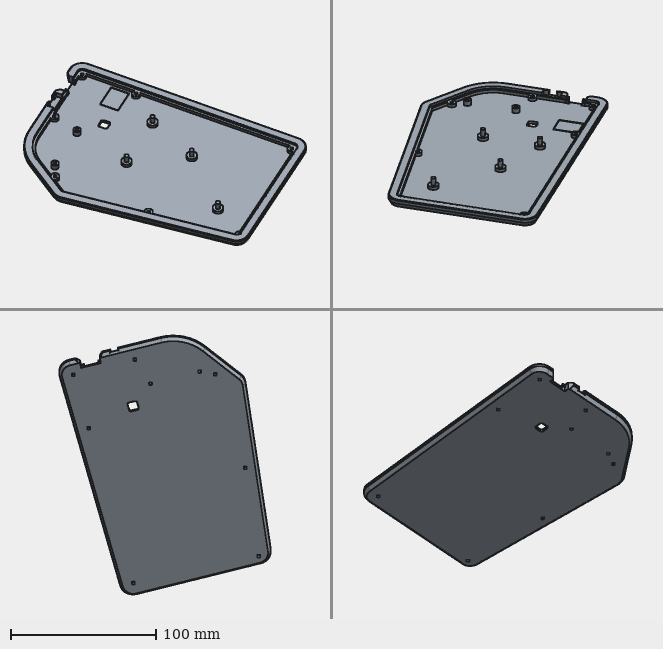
import cadquery as cq
import math

LENGTH = 179.4
WIDTH = 122.4
RIM_WIDTH = 6.0
RIM_TOP = 6.3
RIM_CHAMFER = 0.63
FLOOR_TOP = 2.2
TAPER_HEIGHT = 3.4
TAPER_ANGLE = 30.0

LEDGE_TOP = 4.5
LEDGE_WIDTH = 2.0

WELL_LEFT = RIM_WIDTH
WELL_RIGHT = LENGTH - RIM_WIDTH
WELL_TOP = WIDTH - RIM_WIDTH
WELL_CORNER_RADIUS = 3.4
WELL_SLANT_RADIUS = 27.8
FRONT_EDGE_ANGLE = math.radians(7)
SLANT_EDGE_ANGLE = math.radians(35)

CORNER_TILT = (SLANT_EDGE_ANGLE - FRONT_EDGE_ANGLE) / 2
CORNER_HALF_TURN = (SLANT_EDGE_ANGLE + FRONT_EDGE_ANGLE) / 2
CORNER_REACH = WELL_CORNER_RADIUS * math.cos(CORNER_TILT) / math.cos(CORNER_HALF_TURN)
WELL_CORNER_X = 45.4
WELL_CORNER_Y = RIM_WIDTH + WELL_CORNER_RADIUS - CORNER_REACH

BOSS_DIAMETER = 6.0
SCREW_HOLE_DIAMETER = 2.2
BOSS_CENTERS = [
    (9.5, 112.7), (50.6, 112.7), (169.5, 112.7),
    (9.5, 68.7), (34.5, 18.3), (107.0, 16.1), (172.5, 24.2),
]

POST_DIAMETER = 5.2
POST_TOP = 6.0
POST_CENTERS = [(29.6, 63.0), (29.6, 28.0)]

PIN_DIAMETER = 3.0
PIN_TOP = 9.7
PIN_BASE_DIAMETER = 7.4
PIN_BASE_TOP = LEDGE_TOP
PIN_CENTERS = [(72.5, 93.6), (72.5, 52.5), (110.5, 77.0), (148.2, 40.4)]

WINDOW_SIZE = 6.8
WINDOW_RADIUS = 1.6
WINDOW_CENTER = (42.7, 79.0)
RECESS_SIZE = (13.6, 17.5)
RECESS_CENTER = (38.5, 103.7)
RECESS_DEPTH = 0.5

GAP_CENTER_Y = 99.0
GAP_WIDTH = 14.0
GAP_FLARE = 2.7
OPENING_WIDTH = 10.0
OPENING_CHAMFER = 0.7
JAMB_INNER_X = 8.3
FIN_THICKNESS = 0.7

POCKET_LEFT = 1.8
POCKET_RIGHT = 6.6
POCKET_WIDTH = 13.5
POCKET_CENTER_Y = 81.0
POCKET_FLOOR = 2.5
SLOT_TOP_WIDTH = 5.4
SLOT_FLOOR_WIDTH = 6.5


def well_outline(growth):
    """Well outline in the XY plane, grown outward by growth (inward if negative)."""
    front_right_y = WELL_CORNER_Y + (WELL_RIGHT - WELL_CORNER_X) * math.tan(FRONT_EDGE_ANGLE)
    slant_left_y = WELL_CORNER_Y + (WELL_CORNER_X - WELL_LEFT) * math.tan(SLANT_EDGE_ANGLE)
    corners = [
        (WELL_LEFT, WELL_TOP),
        (WELL_RIGHT, WELL_TOP),
        (WELL_RIGHT, front_right_y),
        (WELL_CORNER_X, WELL_CORNER_Y),
        (WELL_LEFT, slant_left_y),
    ]
    well = cq.Workplane("XY").polyline(corners).close().extrude(1.8)
    slant_corner = cq.selectors.NearestToPointSelector((WELL_LEFT, slant_left_y))
    well = well.edges("|Z").edges(slant_corner).fillet(WELL_SLANT_RADIUS)
    well = well.edges("|Z").edges(">Y or >X or <Y").fillet(WELL_CORNER_RADIUS)
    outline = well.faces("<Z").wires().val()
    if growth == 0:
        return outline
    return outline.offset2D(growth, "arc" if growth > 0 else "intersection")[0]


def prism(growth, bottom, top):
    """Upright solid between two heights, shaped like the grown well outline."""
    wire = well_outline(growth)
    solid = cq.Workplane("XY").add(wire).toPending().extrude(top - bottom)
    return solid.translate((0, 0, bottom))


def cylinders(centers, diameter, bottom, top):
    base = cq.Workplane("XY", origin=(0, 0, bottom))
    return base.pushPoints(centers).circle(diameter / 2).extrude(top - bottom)


def block(x_range, y_range, z_range):
    """Box given by its low and high limits along each axis."""
    lows, highs = zip(x_range, y_range, z_range)
    sizes = [high - low for low, high in zip(lows, highs)]
    return cq.Workplane("XY").box(*sizes, centered=False).translate(lows)


def centered_range(center, size):
    return (center - size / 2, center + size / 2)


def tray():
    upper = prism(RIM_WIDTH, TAPER_HEIGHT, RIM_TOP).faces(">Z").edges().chamfer(RIM_CHAMFER)
    lower = (
        cq.Workplane("XY").add(well_outline(RIM_WIDTH)).toPending()
        .extrude(-TAPER_HEIGHT, taper=TAPER_ANGLE).translate((0, 0, TAPER_HEIGHT))
    )
    body = upper.union(lower)
    body = body.cut(prism(0, LEDGE_TOP, RIM_TOP))
    return body.cut(prism(-LEDGE_WIDTH, FLOOR_TOP, LEDGE_TOP))


def add_bosses_and_posts(body):
    bosses = cylinders(BOSS_CENTERS, BOSS_DIAMETER, FLOOR_TOP, LEDGE_TOP)
    posts = cylinders(POST_CENTERS, POST_DIAMETER, FLOOR_TOP, POST_TOP)
    holes = cylinders(BOSS_CENTERS + POST_CENTERS, SCREW_HOLE_DIAMETER, 0, RIM_TOP)
    return body.union(bosses).union(posts).cut(holes)


def add_pins(body):
    bases = cylinders(PIN_CENTERS, PIN_BASE_DIAMETER, FLOOR_TOP, PIN_BASE_TOP)
    pins = cylinders(PIN_CENTERS, PIN_DIAMETER, FLOOR_TOP, PIN_TOP)
    return body.union(bases).union(pins)


def cut_floor(body):
    window = (
        cq.Workplane("XY").center(*WINDOW_CENTER).rect(WINDOW_SIZE, WINDOW_SIZE)
        .extrude(FLOOR_TOP).edges("|Z").fillet(WINDOW_RADIUS)
    )
    recess = (
        cq.Workplane("XY", origin=(0, 0, FLOOR_TOP)).center(*RECESS_CENTER)
        .rect(*RECESS_SIZE).extrude(-RECESS_DEPTH)
    )
    return body.cut(window).cut(recess)


def cut_connector_gap(body):
    half = GAP_WIDTH / 2
    gap = (
        cq.Workplane("XY").center(0, GAP_CENTER_Y)
        .polyline([
            (0, half + GAP_FLARE), (GAP_FLARE, half), (WELL_LEFT, half),
            (WELL_LEFT, -half), (GAP_FLARE, -half), (0, -half - GAP_FLARE),
        ])
        .close().extrude(RIM_TOP)
    )
    jamb_span = centered_range(GAP_CENTER_Y, GAP_WIDTH)
    jambs = block((WELL_LEFT, JAMB_INNER_X), jamb_span, (FLOOR_TOP, LEDGE_TOP))
    opening_span = centered_range(GAP_CENTER_Y, OPENING_WIDTH)
    opening = block((WELL_LEFT, JAMB_INNER_X), opening_span, (FLOOR_TOP, LEDGE_TOP))
    opening = opening.edges("|X and <Z").chamfer(OPENING_CHAMFER)
    return body.cut(gap).union(jambs).cut(opening)


def add_jamb_fins(body):
    """Thin triangular fins on the jambs, flush with the sides of the opening."""
    for side in (-1, 1):
        fin_center_y = GAP_CENTER_Y + side * (OPENING_WIDTH + FIN_THICKNESS) / 2
        fin = (
            cq.Workplane("XZ", origin=(0, fin_center_y, 0))
            .polyline([(WELL_LEFT, LEDGE_TOP), (JAMB_INNER_X, LEDGE_TOP), (WELL_LEFT, RIM_TOP)])
            .close().extrude(FIN_THICKNESS / 2, both=True)
        )
        body = body.union(fin)
    return body


def cut_switch_pocket(body):
    height = (POCKET_FLOOR, RIM_TOP)
    pocket = block((POCKET_LEFT, POCKET_RIGHT), centered_range(POCKET_CENTER_Y, POCKET_WIDTH), height)
    floor_half = SLOT_FLOOR_WIDTH / 2
    top_half = SLOT_TOP_WIDTH / 2
    slot = (
        cq.Workplane("YZ").center(POCKET_CENTER_Y, 0)
        .polyline([
            (-floor_half, POCKET_FLOOR), (floor_half, POCKET_FLOOR),
            (top_half, RIM_TOP), (-top_half, RIM_TOP),
        ])
        .close().extrude(POCKET_LEFT)
    )
    return body.cut(pocket).cut(slot)


result = tray()
result = add_bosses_and_posts(result)
result = add_pins(result)
result = cut_floor(result)
result = cut_connector_gap(result)
result = add_jamb_fins(result)
result = cut_switch_pocket(result)